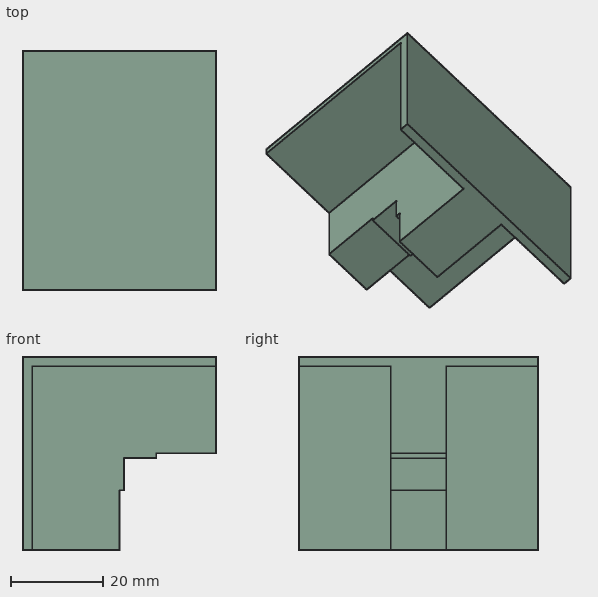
import cadquery as cq

leg_length = 42.0
depth = 52.0
wall = 2.0

web_leg_width = 21.0
web_thickness = 12.0
corner_step = 1.0
step_length = 7.0

front_y = -depth / 2
web_front_y = -web_thickness / 2


def extrude_along_y(outline, start_y, length):
    """Extrude a closed (x, z) outline toward +Y from start_y."""
    plane = cq.Workplane("XZ", origin=(0, start_y, 0))
    return plane.polyline(outline).close().extrude(-length)


def make_angle():
    """Two equal flat plates meeting at a square corner."""
    outline = [
        (0, 0),
        (leg_length, 0),
        (leg_length, -wall),
        (wall, -wall),
        (wall, -leg_length),
        (0, -leg_length),
    ]
    return extrude_along_y(outline, front_y, depth)


def make_web():
    """Central L-shaped web with a stepped inner corner."""
    step_face = web_leg_width + corner_step
    step_end = step_face + step_length
    outline = [
        (0, 0),
        (leg_length, 0),
        (leg_length, -web_leg_width),
        (step_end, -web_leg_width),
        (step_end, -step_face),
        (step_face, -step_face),
        (step_face, -step_end),
        (web_leg_width, -step_end),
        (web_leg_width, -leg_length),
        (0, -leg_length),
    ]
    return extrude_along_y(outline, web_front_y, web_thickness)


result = make_angle().union(make_web())